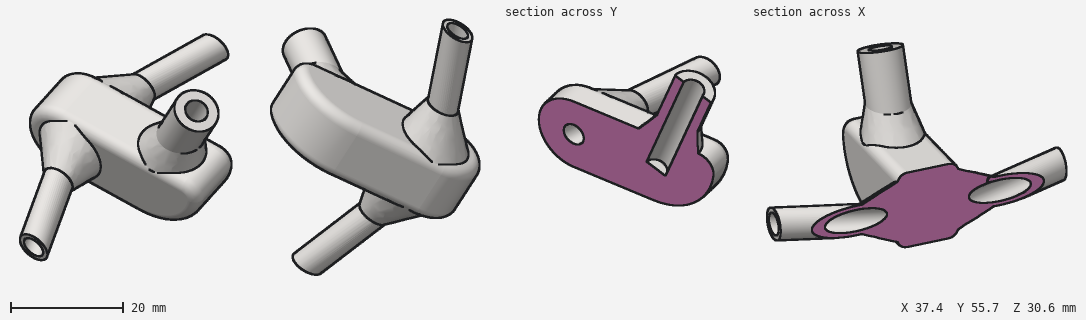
import cadquery as cq
import math

body_height = 15.05
body_width = 12.05
edge_fillet = 2.0
body_right = 29.85
corner_radius = 3.35
heel_radius = 12.85
nose_radius = body_height / 2

bore_diameter = 4.2
side_tube_diameter = 6.0
side_tip_y = 27.85
side_tip_x = 9.7
side_collar_y = 12.9
side_collar_tilt = 5.0
side_flare_diameter = 14.25
side_flare_x = 1.95
side_flare_y = 5.1

top_tube_diameter = 8.2
top_tube_lean = 20.0
top_tip_x = 25.45
top_tip_z = 21.7
top_collar_z = 12.3
top_flare_x = 19.8
top_flare_length = 13.6
top_flare_width = 11.6
top_flare_depth = 1.05


def make_body():
    """Slab with a round nose, a small top corner and a large tangent heel arc."""
    corner_x = body_right - corner_radius
    corner_z = nose_radius - corner_radius
    heel_z = heel_radius - nose_radius
    centre_gap = heel_radius - corner_radius
    heel_x = corner_x - math.sqrt(centre_gap**2 - (heel_z - corner_z) ** 2)
    joint_angle = math.atan2(corner_z - heel_z, corner_x - heel_x)
    heel_mid_angle = (joint_angle - math.pi / 2) / 2
    corner_mid_angle = (joint_angle + math.pi / 2) / 2

    def on_arc(x, z, radius, angle):
        return (x + radius * math.cos(angle), z + radius * math.sin(angle))

    joint = on_arc(corner_x, corner_z, corner_radius, joint_angle)
    return (
        cq.Workplane("XZ")
        .moveTo(0, -nose_radius)
        .lineTo(heel_x, -nose_radius)
        .threePointArc(on_arc(heel_x, heel_z, heel_radius, heel_mid_angle), joint)
        .threePointArc(
            on_arc(corner_x, corner_z, corner_radius, corner_mid_angle), (corner_x, nose_radius)
        )
        .lineTo(0, nose_radius)
        .threePointArc((-nose_radius, 0), (0, -nose_radius))
        .close()
        .extrude(body_width / 2, both=True)
        .faces("|Y")
        .edges()
        .fillet(edge_fillet)
    )


def side_axis_x(y):
    """X of the -Y tube axis, which runs through the origin, at distance y."""
    return side_tip_x * y / side_tip_y


def side_circle(x, y, diameter, tilt=0.0):
    """Circular section at distance y on the -Y side, turned about Z by tilt degrees."""
    turn = math.radians(tilt)
    normal = (math.sin(turn), -math.cos(turn), 0)
    plane = cq.Plane(origin=(x, -y, 0), xDir=(math.cos(turn), math.sin(turn), 0), normal=normal)
    return cq.Workplane(plane).circle(diameter / 2).wires().val()


def ruled_loft(sections):
    return cq.Workplane(cq.Solid.makeLoft(sections, True))


def slanted_side_rod(diameter, start_y):
    """Slanted rod, round in XZ sections, from start_y out to the tube tip."""
    return ruled_loft(
        [
            side_circle(side_axis_x(start_y), start_y, diameter),
            side_circle(side_tip_x, side_tip_y, diameter),
        ]
    )


def make_side_branch():
    """Flare and tube on the -Y side."""
    flare = ruled_loft(
        [
            side_circle(side_flare_x, side_flare_y, side_flare_diameter),
            side_circle(side_axis_x(side_collar_y), side_collar_y, side_tube_diameter, side_collar_tilt),
        ]
    )
    return slanted_side_rod(side_tube_diameter, body_width / 2).union(flare)


def top_rod(diameter, bottom_z):
    """Cylinder along the leaning top axis, from the tube tip down to bottom_z on the axis."""
    lean = math.radians(top_tube_lean)
    downward = (-math.sin(lean), 0, -math.cos(lean))
    plane = cq.Plane(origin=(top_tip_x, 0, top_tip_z), xDir=(0, 1, 0), normal=downward)
    length = (top_tip_z - bottom_z) / math.cos(lean)
    return cq.Workplane(plane).circle(diameter / 2).extrude(length)


def make_top_branch():
    """Flare from an oval root sunk in the body to a level oval collar, continued by the leaning tube."""
    lean = math.radians(top_tube_lean)
    collar_x = top_tip_x - (top_tip_z - top_collar_z) * math.tan(lean)
    root = (
        cq.Workplane("XY", origin=(top_flare_x, 0, nose_radius - top_flare_depth))
        .ellipse(top_flare_length / 2, top_flare_width / 2)
    )
    collar = (
        cq.Workplane("XY", origin=(collar_x, 0, top_collar_z))
        .ellipse(top_tube_diameter / 2 / math.cos(lean), top_tube_diameter / 2)
    )
    flare = ruled_loft([root.wires().val(), collar.wires().val()])
    return top_rod(top_tube_diameter, nose_radius).union(flare)


side_branch = make_side_branch()
side_bore = slanted_side_rod(bore_diameter, 0)

result = make_body().union(make_top_branch())
result = result.union(side_branch).union(side_branch.mirror("XZ"))
result = result.cut(side_bore).cut(side_bore.mirror("XZ"))
result = result.cut(top_rod(bore_diameter, 0))